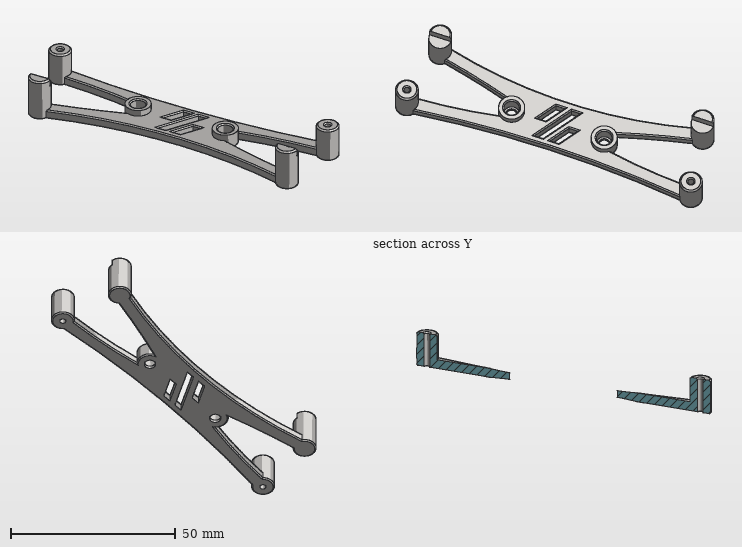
import cadquery as cq
import math

SIDES = (-1, 1)
chamfer_angle = 45.0

plate_thickness = 3.0
edge_chamfer = 0.4

rear_edge_mid_y = 9.5
rear_edge_radius = 360.0
front_edge_mid_y = -6.6
front_edge_radius = 155.0

rear_arm_inner_edge = ((16.0, 4.35), (28.0, 6.35), (45.0, 7.75))
front_arm_inner_edge = ((16.0, -1.0), (28.0, -4.5), (41.5, -7.75))

post_diameter = 7.0
post_y = 10.0
rear_post_x = 46.0
front_post_x = 42.5
rear_post_height = 11.0
front_post_height = 13.5
front_post_ledge_height = rear_post_height
post_top_chamfer = 0.5

screw_hole_diameter = 1.8
screw_hole_chamfer = 0.4

boss_diameter = 8.0
boss_height = 5.0
boss_x = 15.0
boss_y = 2.0
clearance_hole_diameter = 3.4
counterbore_diameter = 4.7
counterbore_depth = 4.0
counterbore_chamfer = 0.4

window_center_x = 0.3
window_center_y = 1.6
window_pitch = 5.1
window_width = 2.8
window_lean_angle = 33.0
long_window_height = 11.9
short_window_height = 6.0


def bowed_edge_y(mid_y, radius, direction, x):
    """Y of an arc through (0, mid_y) that curves away toward the given Y direction."""
    return mid_y + direction * (radius - math.sqrt(radius**2 - x**2))


def make_plate():
    rear_crotch, rear_middle, rear_tip = rear_arm_inner_edge
    front_crotch, front_middle, front_tip = front_arm_inner_edge
    rear_outer_y = bowed_edge_y(rear_edge_mid_y, rear_edge_radius, 1, rear_tip[0])
    front_outer_y = bowed_edge_y(front_edge_mid_y, front_edge_radius, -1, front_tip[0])

    def mirrored(point):
        return (-point[0], point[1])

    return (
        cq.Workplane("XY")
        .moveTo(-rear_tip[0], rear_outer_y)
        .threePointArc((0, rear_edge_mid_y), (rear_tip[0], rear_outer_y))
        .lineTo(*rear_tip)
        .threePointArc(rear_middle, rear_crotch)
        .lineTo(*front_crotch)
        .threePointArc(front_middle, front_tip)
        .lineTo(front_tip[0], front_outer_y)
        .threePointArc((0, front_edge_mid_y), (-front_tip[0], front_outer_y))
        .lineTo(*mirrored(front_tip))
        .threePointArc(mirrored(front_middle), mirrored(front_crotch))
        .lineTo(*mirrored(rear_crotch))
        .threePointArc(mirrored(rear_middle), mirrored(rear_tip))
        .close()
        .extrude(plate_thickness)
        .faces("<Z or >Z")
        .chamfer(edge_chamfer)
    )


def make_post(x, y, height):
    return (
        cq.Workplane("XY")
        .center(x, y)
        .circle(post_diameter / 2)
        .extrude(height)
        .faces(">Z")
        .chamfer(post_top_chamfer)
        .faces("<Z")
        .chamfer(edge_chamfer)
    )


def make_front_post(x):
    """Post whose inward half is cut down to a ledge, leaving a half-round stop."""
    step_height = front_post_height - front_post_ledge_height
    step = (
        cq.Workplane("XY", origin=(x, -post_y, front_post_ledge_height))
        .rect(post_diameter, post_diameter)
        .extrude(step_height)
        .translate((0, post_diameter / 2, 0))
    )
    return make_post(x, -post_y, front_post_height).cut(step)


def make_boss(x):
    return (
        cq.Workplane("XY")
        .center(x, boss_y)
        .circle(boss_diameter / 2)
        .extrude(boss_height)
        .faces("<Z")
        .chamfer(edge_chamfer)
    )


def make_chamfered_hole(x, y, top_z, diameter, depth, chamfer):
    """Cutter for a round hole going down from top_z, with a chamfered mouth."""
    mouth = cq.Workplane("XY", origin=(x, y, top_z))
    bore = mouth.circle(diameter / 2).extrude(-depth)
    mouth_radius = diameter / 2 + chamfer
    cone = mouth.circle(mouth_radius).extrude(-chamfer, taper=chamfer_angle)
    return bore.union(cone)


def make_screw_hole(x):
    return make_chamfered_hole(
        x, post_y, rear_post_height, screw_hole_diameter, rear_post_height, screw_hole_chamfer
    )


def make_boss_hole(x):
    through = (
        cq.Workplane("XY")
        .center(x, boss_y)
        .circle(clearance_hole_diameter / 2)
        .extrude(boss_height)
    )
    counterbore = make_chamfered_hole(
        x, boss_y, boss_height, counterbore_diameter, counterbore_depth, counterbore_chamfer
    )
    return through.union(counterbore)


def make_window(offset_x, low_y, high_y):
    """Cutter for a leaning window; offset_x and both Y values are from the window centre."""
    lean = math.tan(math.radians(window_lean_angle))

    def outline(z, margin):
        side_margin = margin / math.cos(math.radians(window_lean_angle))
        half_width = window_width / 2 + side_margin
        low = low_y - margin
        high = high_y + margin
        return (
            cq.Workplane("XY", origin=(window_center_x + offset_x, window_center_y, z))
            .moveTo(low * lean - half_width, low)
            .lineTo(low * lean + half_width, low)
            .lineTo(high * lean + half_width, high)
            .lineTo(high * lean - half_width, high)
            .close()
        )

    through = outline(0, 0).extrude(plate_thickness)
    chamfer_start = plate_thickness - edge_chamfer
    flare = cq.Solid.makeLoft(
        [outline(chamfer_start, 0).val(), outline(plate_thickness, edge_chamfer).val()], True
    )
    return through.union(flare)


result = make_plate()

for side in SIDES:
    result = result.union(make_post(side * rear_post_x, post_y, rear_post_height))
    result = result.union(make_front_post(side * front_post_x))
    result = result.union(make_boss(side * boss_x))

for side in SIDES:
    result = result.cut(make_screw_hole(side * rear_post_x))
    result = result.cut(make_boss_hole(side * boss_x))

window_top = long_window_height / 2
result = result.cut(make_window(0, -window_top, window_top))
result = result.cut(make_window(-window_pitch, window_top - short_window_height, window_top))
result = result.cut(make_window(window_pitch, -window_top, short_window_height - window_top))